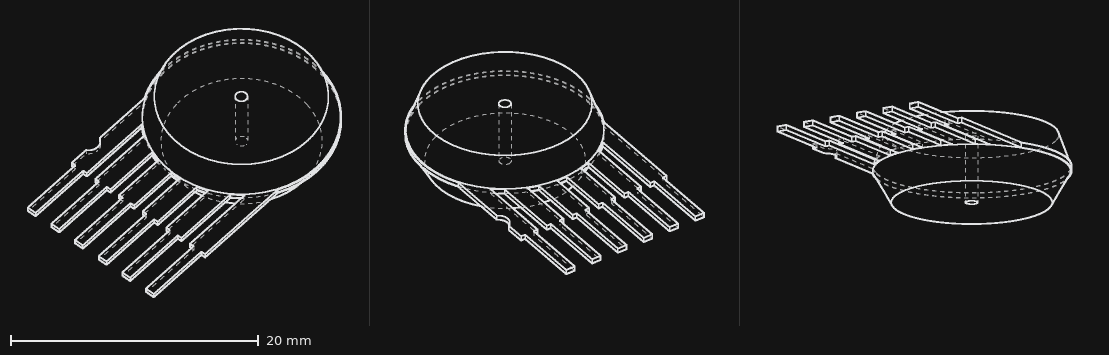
import cadquery as cq

rim_diameter = 16.15
cone_base_diameter = 16.0
top_diameter = 14.06
bottom_diameter = 13.0
total_height = 5.72
lead_thickness = 0.43
vent_diameter = 1.0

lead_count = 6
lead_pitch = 2.54
shank_width = 1.63
pin_width = 0.85
overall_length = 26.49
shank_end = 12.59

notch_depth = 0.49
notch_radius = 0.95
notch_distance = 10.0

half_lead = lead_thickness / 2
half_height = total_height / 2
lead_tip = overall_length - rim_diameter / 2
first_lead_x = -lead_pitch * (lead_count - 1) / 2


def make_body():
    """Revolve the half section of the round body about Z."""
    return (
        cq.Workplane("XZ")
        .moveTo(0, -half_height)
        .lineTo(bottom_diameter / 2, -half_height)
        .lineTo(cone_base_diameter / 2, -half_lead)
        .lineTo(rim_diameter / 2, -half_lead)
        .lineTo(rim_diameter / 2, half_lead)
        .lineTo(cone_base_diameter / 2, half_lead)
        .lineTo(top_diameter / 2, half_height)
        .lineTo(0, half_height)
        .close()
        .revolve(360, (0, 0), (0, 1))
    )


def make_strip(x, width, length):
    """Flat strip centred on x, running from the X axis to y = -length."""
    return cq.Workplane("XY").box(width, length, lead_thickness).translate((x, -length / 2, 0))


def make_lead(x):
    """One lead: a wide shank with a narrow pin at its end."""
    return make_strip(x, shank_width, shank_end).union(make_strip(x, pin_width, lead_tip))


def make_notch():
    """Cylinder that bites into the outer edge of the first lead."""
    outer_edge_x = first_lead_x - shank_width / 2
    centre_x = outer_edge_x + notch_depth - notch_radius
    return (
        cq.Workplane("XY")
        .circle(notch_radius)
        .extrude(half_lead, both=True)
        .translate((centre_x, -notch_distance, 0))
    )


def make_vent():
    """Hole along the body axis, right through both halves."""
    return cq.Workplane("XY").circle(vent_diameter / 2).extrude(half_height, both=True)


result = make_body()
for index in range(lead_count):
    result = result.union(make_lead(first_lead_x + index * lead_pitch))
result = result.cut(make_notch()).cut(make_vent())